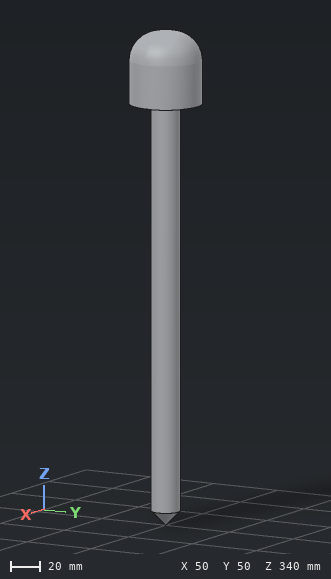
import cadquery as cq

total_length = 340.0
head_diameter = 50.0
head_height = 50.0
rod_diameter = 20.0
dome_radius = 20.0

point_height = rod_diameter / 2
head_bottom = total_length - head_height


def make_rod():
    """Round rod that reaches up to the underside of the head."""
    rod_length = head_bottom - point_height
    return cq.Workplane("XY").workplane(offset=point_height).circle(rod_diameter / 2).extrude(rod_length)


def make_point():
    """Conical point below the rod, with its tip at the origin."""
    return (
        cq.Workplane("XZ")
        .polyline([(0, 0), (rod_diameter / 2, point_height), (0, point_height)])
        .close()
        .revolve(360, (0, 0, 0), (0, 1, 0))
    )


def make_head():
    """Cylindrical head with a rounded top edge around a small flat."""
    head = cq.Workplane("XY").workplane(offset=head_bottom).circle(head_diameter / 2).extrude(head_height)
    return head.faces(">Z").edges().fillet(dome_radius)


result = make_rod().union(make_point()).union(make_head())